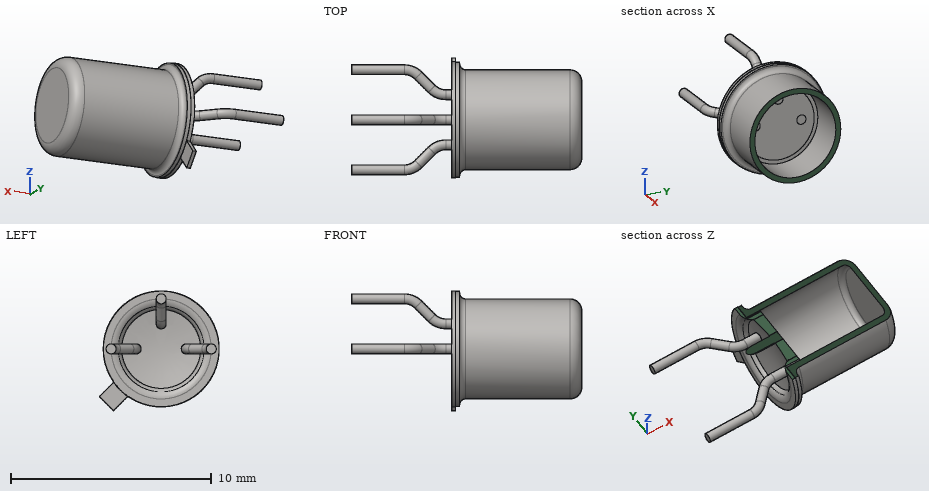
import cadquery as cq
import math


header_diameter = 5.8
header_thickness = 0.2
eyelet_outer_diameter = 4.3
eyelet_inner_diameter = 3.9
rolled_edge_diameter = 5.0
eyelet_depth = 1.0
rolled_edge_radius = (rolled_edge_diameter - eyelet_inner_diameter) / 2

diagonal = math.sqrt(0.5)

tab_width = 1.0
tab_end_radius = 3.87
tab_angle = -45.0

cap_diameter = 5.0
cap_inner_diameter = 4.4
brim_diameter = 5.76
brim_thickness = 0.2
flare_radius = 0.3
cap_end = 6.5
cap_end_radius = 0.6
cap_wall = (cap_diameter - cap_inner_diameter) / 2

glass_edge_depth = 0.4
glass_dish_depth = 0.2

lead_diameter = 0.5
lead_angles = (0, 90, 180)
lead_tip = -5.0
lead_inner_offset = 1.25
lead_outer_offset = 2.5
bend_angle = 45.0
bend_radius = 1.0
bend_start = -0.29


def revolve_about_x(profile):
    return profile.close().revolve(360, (0, 0, 0), (1, 0, 0))


def rolled_edge_at(depth):
    """Radius of the header's opening at a depth within its rolled edge."""
    height = math.sqrt(rolled_edge_radius**2 - (rolled_edge_radius - depth) ** 2)
    return rolled_edge_diameter / 2 - height


def make_header():
    inner = eyelet_inner_diameter / 2
    roll_middle = rolled_edge_radius * (1 - diagonal)
    return revolve_about_x(
        cq.Workplane("XY")
        .moveTo(0, header_diameter / 2)
        .lineTo(header_thickness, header_diameter / 2)
        .lineTo(header_thickness, eyelet_outer_diameter / 2)
        .lineTo(eyelet_depth, eyelet_outer_diameter / 2)
        .lineTo(eyelet_depth, inner)
        .lineTo(rolled_edge_radius, inner)
        .threePointArc((roll_middle, rolled_edge_at(roll_middle)), (0, rolled_edge_diameter / 2))
    )


def make_tab():
    blank = (
        cq.Workplane("YZ")
        .center(tab_end_radius / 2, 0)
        .rect(tab_end_radius, tab_width)
        .extrude(header_thickness)
    )
    disc = cq.Workplane("YZ").circle(header_diameter / 2).extrude(header_thickness)
    return blank.cut(disc).rotate((0, 0, 0), (1, 0, 0), tab_angle)


def make_cap():
    brim_face = header_thickness + brim_thickness
    outer = cap_diameter / 2
    inner = cap_inner_diameter / 2
    inner_end_radius = cap_end_radius - cap_wall
    inner_end = cap_end - cap_wall
    return revolve_about_x(
        cq.Workplane("XY")
        .moveTo(header_thickness, inner)
        .lineTo(header_thickness, brim_diameter / 2)
        .lineTo(brim_face, brim_diameter / 2)
        .lineTo(brim_face, outer + flare_radius)
        .threePointArc(
            (brim_face + flare_radius * (1 - diagonal), outer + flare_radius * (1 - diagonal)),
            (brim_face + flare_radius, outer),
        )
        .lineTo(cap_end - cap_end_radius, outer)
        .threePointArc(
            (cap_end - cap_end_radius * (1 - diagonal), outer - cap_end_radius * (1 - diagonal)),
            (cap_end, outer - cap_end_radius),
        )
        .lineTo(cap_end, 0)
        .lineTo(inner_end, 0)
        .lineTo(inner_end, inner - inner_end_radius)
        .threePointArc(
            (inner_end - inner_end_radius * (1 - diagonal), inner - inner_end_radius * (1 - diagonal)),
            (inner_end - inner_end_radius, inner),
        )
    )


def make_lead(angle):
    bend = math.radians(bend_angle)
    run = bend_radius * math.sin(bend)
    rise = bend_radius * (1 - math.cos(bend))
    half_run = bend_radius * math.sin(bend / 2)
    half_rise = bend_radius * (1 - math.cos(bend / 2))
    slope_rise = lead_outer_offset - lead_inner_offset - 2 * rise
    bend_end = bend_start - 2 * run - slope_rise / math.tan(bend)
    path = (
        cq.Workplane("XY")
        .moveTo(eyelet_depth, lead_inner_offset)
        .lineTo(bend_start, lead_inner_offset)
        .threePointArc(
            (bend_start - half_run, lead_inner_offset + half_rise),
            (bend_start - run, lead_inner_offset + rise),
        )
        .lineTo(bend_end + run, lead_outer_offset - rise)
        .threePointArc(
            (bend_end + half_run, lead_outer_offset - half_rise),
            (bend_end, lead_outer_offset),
        )
        .lineTo(lead_tip, lead_outer_offset)
    )
    start = cq.Workplane("YZ", origin=(eyelet_depth, lead_inner_offset, 0))
    return start.circle(lead_diameter / 2).sweep(path).rotate((0, 0, 0), (1, 0, 0), angle)


def make_glass(leads):
    wall = eyelet_inner_diameter / 2
    edge = rolled_edge_at(glass_edge_depth)
    roll_middle = (rolled_edge_radius + glass_edge_depth) / 2
    dish_floor = glass_edge_depth + glass_dish_depth
    dish_radius = (edge**2 + glass_dish_depth**2) / (2 * glass_dish_depth)
    half_angle = math.asin(edge / dish_radius) / 2
    dish_middle = (dish_floor - dish_radius * (1 - math.cos(half_angle)), dish_radius * math.sin(half_angle))
    glass = revolve_about_x(
        cq.Workplane("XY")
        .moveTo(eyelet_depth, 0)
        .lineTo(eyelet_depth, wall)
        .lineTo(rolled_edge_radius, wall)
        .threePointArc((roll_middle, rolled_edge_at(roll_middle)), (glass_edge_depth, edge))
        .threePointArc(dish_middle, (dish_floor, 0))
    )
    for lead in leads:
        glass = glass.cut(lead)
    return glass


leads = [make_lead(angle) for angle in lead_angles]
header = make_header()
tab = make_tab()
cap = make_cap()
glass = make_glass(leads)

result = cq.Compound.makeCompound(
    [header.val(), tab.val(), cap.val(), glass.val(), *[lead.val() for lead in leads]]
)